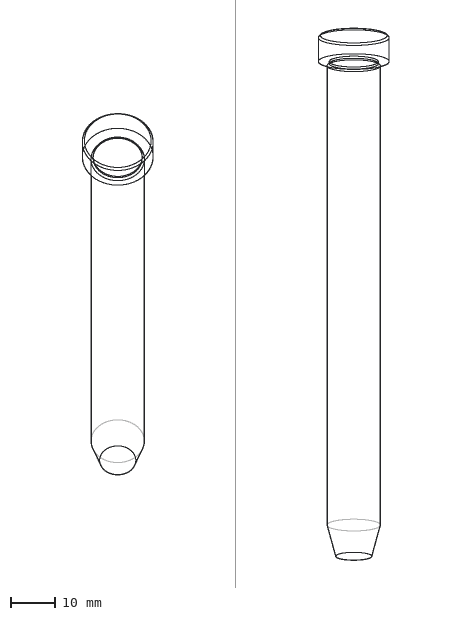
import cadquery as cq
import math

length = 120.0
head_radius = 16.0 / 2
head_height = 6.0
head_chamfer = 0.5
shaft_radius = 6.0

neck_depth = 0.5
neck_straight = 0.5
neck_height = 1.0

tip_height = 7.2
tip_angle = 15.0

neck_radius = shaft_radius - neck_depth
tip_radius = shaft_radius - tip_height * math.tan(math.radians(tip_angle))
top = length / 2
bottom = -length / 2
head_bottom = top - head_height

profile = (
    cq.Workplane("XZ")
    .moveTo(0, bottom)
    .lineTo(tip_radius, bottom)
    .lineTo(shaft_radius, bottom + tip_height)
    .lineTo(shaft_radius, head_bottom - neck_height)
    .lineTo(neck_radius, head_bottom - neck_straight)
    .lineTo(neck_radius, head_bottom)
    .lineTo(head_radius, head_bottom)
    .lineTo(head_radius, top - head_chamfer)
    .lineTo(head_radius - head_chamfer, top)
    .lineTo(0, top)
    .close()
)

result = profile.revolve(360, (0, 0, 0), (0, 1, 0))